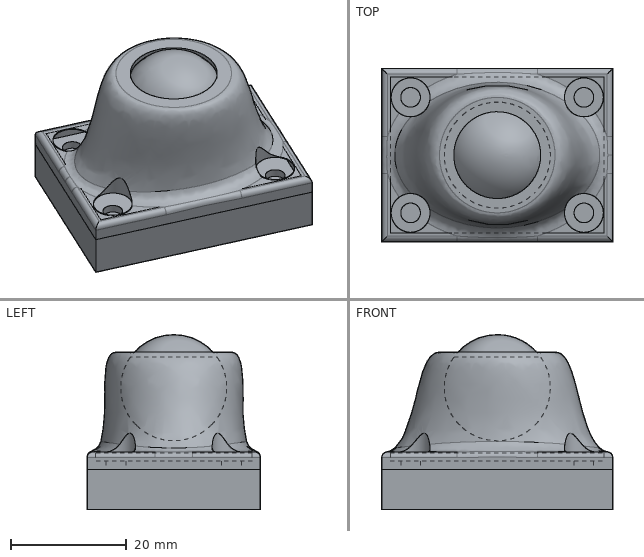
import cadquery as cq

length = 40.0
width = 30.0
base_height = 7.0
plate_top = 10.0
plate_edge_radius = 1.0

bell_top = 27.3
rim_radius = 10.0
bell_heights = (bell_top, bell_top, 12.7, plate_top)
bell_half_x = (rim_radius, 14.4, 13.6, 18.7)
bell_half_y = (rim_radius, 13.7, 10.5, 13.6)
bell_steps = 8
flare_radius = 2.5
flare_margin = 8.0

ball_radius = 9.2
ball_top = 30.3
ball_center = ball_top - ball_radius
opening_radius = 7.5

screw_spacing_x = 30.0
screw_spacing_y = 20.0
screw_diameter = 3.4
counterbore_diameter = 6.7

wall = 1.5
hollow_floor = 8.4
lid_thickness = 0.15
hollow_ceiling = plate_top - lid_thickness


def make_base():
    """Plain rectangular block under the housing."""
    return cq.Workplane("XY").box(length, width, base_height, centered=(True, True, False))


def bezier(controls, t):
    """Value at t (0 to 1) of the cubic Bezier curve with four control values."""
    start, leave, arrive, end = controls
    u = 1 - t
    return u**3 * start + 3 * u**2 * t * leave + 3 * u * t**2 * arrive + t**3 * end


def make_bell():
    """Bell that changes smoothly from a wide elliptical foot to a round rim."""
    sections = cq.Workplane("XY")
    level = 0.0
    for step in range(bell_steps, -1, -1):
        t = step / bell_steps
        height = bezier(bell_heights, t)
        half_x = bezier(bell_half_x, t)
        half_y = bezier(bell_half_y, t)
        sections = sections.workplane(offset=height - level).ellipse(half_x, half_y)
        level = height
    return sections.loft(ruled=False, combine=True)


def make_flared_body():
    """Bell blended into an oversize plate, trimmed to the block outline, with rounded plate edges."""
    plate_height = plate_top - base_height
    plate = (
        cq.Workplane("XY", origin=(0, 0, base_height))
        .box(length + flare_margin, width + flare_margin, plate_height, centered=(True, True, False))
    )
    tolerance = 0.05
    foot = cq.selectors.BoxSelector(
        (-length / 2, -width / 2, plate_top - tolerance),
        (length / 2, width / 2, plate_top + tolerance),
        boundingbox=True,
    )
    flared = plate.union(make_bell()).edges(foot).fillet(flare_radius)
    outline = cq.Workplane("XY").box(length, width, ball_top, centered=(True, True, False))
    trimmed = flared.intersect(outline)
    upper_edges = trimmed.faces("<X or >X or <Y or >Y").edges("not(|Z)").edges("not(<Z)")
    return upper_edges.fillet(plate_edge_radius)


def make_ball():
    """Ball held in the bell, standing out through the opening."""
    return cq.Workplane("XY", origin=(0, 0, ball_center)).sphere(ball_radius)


def make_hollow():
    """Flat rectangular space under the lid of the plate."""
    return (
        cq.Workplane("XY", origin=(0, 0, hollow_floor))
        .box(length - 2 * wall, width - 2 * wall, hollow_ceiling - hollow_floor,
             centered=(True, True, False))
    )


def make_housing():
    """Bell and plate with the ball socket, four counterbored screw holes and the hollow they open into."""
    opening = (
        cq.Workplane("XY", origin=(0, 0, ball_center))
        .circle(opening_radius)
        .extrude(ball_top - ball_center)
    )
    screws = cq.Workplane("XY").rarray(screw_spacing_x, screw_spacing_y, 2, 2)
    screw_holes = screws.circle(screw_diameter / 2).extrude(plate_top)
    counterbores = (
        cq.Workplane("XY", origin=(0, 0, hollow_floor))
        .rarray(screw_spacing_x, screw_spacing_y, 2, 2)
        .circle(counterbore_diameter / 2)
        .extrude(bell_top - hollow_floor)
    )
    bored = make_flared_body().cut(opening).cut(make_ball()).cut(screw_holes)
    return bored.cut(counterbores).cut(make_hollow())


base = make_base()
housing = make_housing()
ball = make_ball()
result = cq.Compound.makeCompound([base.val(), housing.val(), ball.val()])